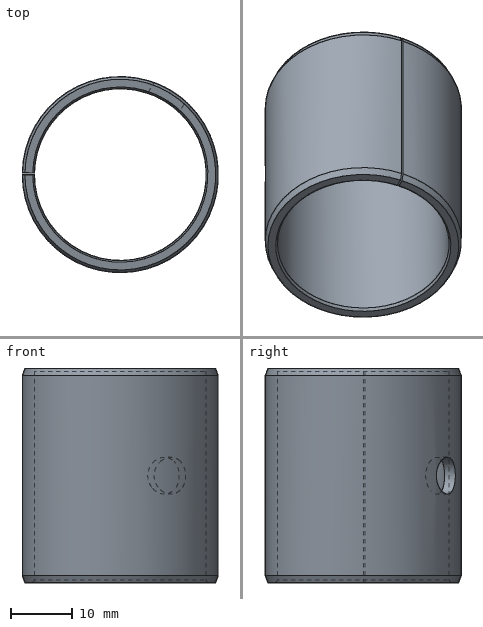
import cadquery as cq
import math

length = 35.0
outer_diameter = 32.0
wall = 2.0
outer_chamfer_length = 1.2
outer_chamfer_angle = 20.0
inner_chamfer_length = 0.5
inner_chamfer_angle = 30.0
slit_angle = 1.0
slit_edge_angle = 180.0
oil_hole_diameter = 6.0
oil_hole_angle_from_slit = 120.0
oil_hole_height = length / 2

full_turn = 360.0
outer_radius = outer_diameter / 2
inner_radius = outer_radius - wall
oil_hole_angle = slit_edge_angle - slit_angle - oil_hole_angle_from_slit
inner_chamfer_depth = inner_chamfer_length * math.tan(math.radians(inner_chamfer_angle))
outer_chamfer_depth = outer_chamfer_length * math.tan(math.radians(outer_chamfer_angle))


def make_sleeve():
    """Tube along Z, chamfered at both ends and split along its length by a narrow gap."""
    end_outer_radius = outer_radius - outer_chamfer_depth
    end_inner_radius = inner_radius + inner_chamfer_depth
    wall_section = [
        (inner_radius, inner_chamfer_length),
        (end_inner_radius, 0),
        (end_outer_radius, 0),
        (outer_radius, outer_chamfer_length),
        (outer_radius, length - outer_chamfer_length),
        (end_outer_radius, length),
        (end_inner_radius, length),
        (inner_radius, length - inner_chamfer_length),
    ]
    return (
        cq.Workplane("XZ")
        .polyline(wall_section)
        .close()
        .revolve(full_turn - slit_angle, (0, 0), (0, 1))
        .rotate((0, 0, 0), (0, 0, 1), slit_edge_angle)
    )


def make_oil_hole():
    """Radial cutter that runs from the axis out through one side of the wall."""
    return (
        cq.Workplane("YZ")
        .center(0, oil_hole_height)
        .circle(oil_hole_diameter / 2)
        .extrude(outer_diameter)
        .rotate((0, 0, 0), (0, 0, 1), oil_hole_angle)
    )


result = make_sleeve().cut(make_oil_hole())